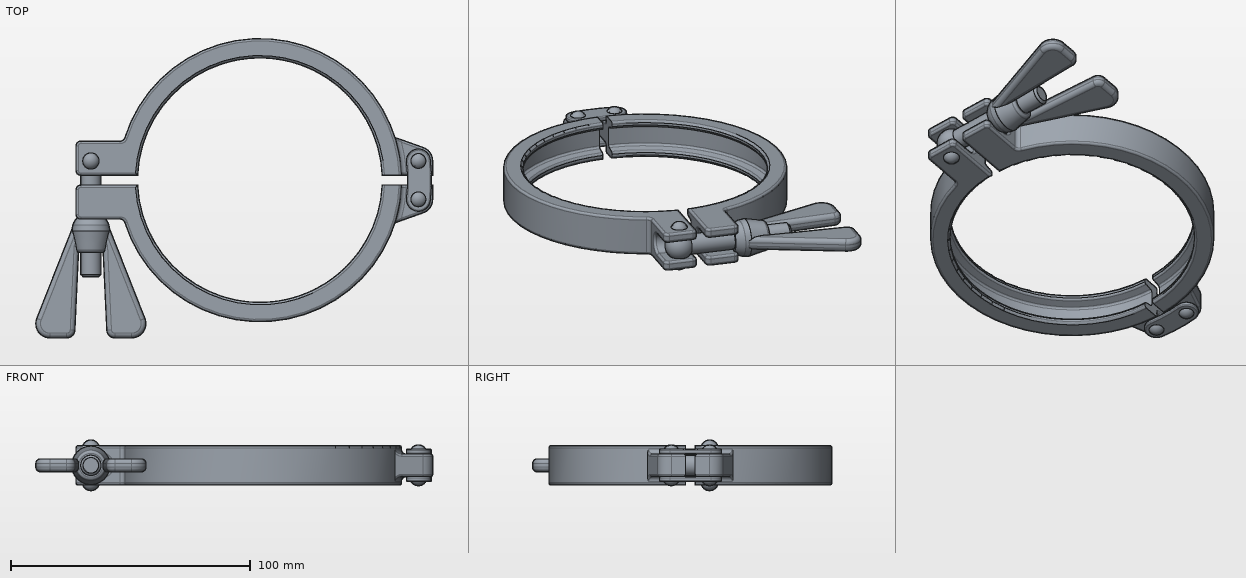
import cadquery as cq
import math

RING_RADIUS = 59.1
BORE_RADIUS = 51.0
ROUGH_BORE_RADIUS = BORE_RADIUS - 2.0
HEIGHT = 16.5
HALF_GAP = 2.0
EDGE_ROUND = 1.0

GROOVE_RADIUS = 55.5
GROOVE_MOUTH = 10.8
FLANK_ANGLE = math.radians(12.5)

ARM_END_X = -76.75
ARM_ROOT_X = -54.0
ARM_OUTER_Y = 16.3
CORNER_ROUND = 2.0
SLOT_END_X = -62.0

BOLT_X = -70.54
BOLT_RADIUS = 4.25
BOLT_END_Y = -40.3
BOLT_CHAMFER = 1.0
EYE_RADIUS = 6.0
PIVOT_Y = 8.0
PIN_LENGTH = 21.25
PIN_HEAD_RADIUS = 3.4
SHANK_RADIUS = 4.82 / 2

NUT_RADIUS = 8.0
NUT_WIDEST_Y = -21.25
NUT_BAND_Y = -18.75
NUT_TIP_Y = -15.2
NUT_END_Y = -30.2
NUT_END_RADIUS = 6.1
NUT_END_ROUND = 1.4
WING_HALF_SPAN = 23.0
WING_TIP_Y = -65.86
WING_ROOT_Y = -19.5
WING_THICKNESS = 5.5
WING_ROUND = 2.0
WING_OUTER_ANGLE = math.radians(21.5)
WING_OUTER_CORNER = 6.0
WING_INNER_CORNER = 3.5
WING_ROOT_X = 2.0
WING_KNEE_Y = -28.0
WING_INNER_KNEE_X = 5.0
WING_INNER_TIP_X = 6.75

HINGE_X = 66.1
HINGE_Y = 8.0
KNUCKLE_RADIUS = 6.0
KNUCKLE_HEIGHT = 9.5
KNUCKLE_SLOPE = math.radians(19.6)
KNUCKLE_ROOT_X = 54.0
KNUCKLE_BLEND = 2.0
LINK_THICKNESS = 2.0
LINK_HALF_WIDTH = 5.0
LINK_ROUND = 0.5
RIVET_HEAD_RADIUS = 3.1
RIVET_HEAD_HEIGHT = 1.8

SLOT_RADIUS = BOLT_RADIUS
TOLERANCE = 0.01
LARGE = 300.0


def pick_edges(body, condition):
    """Workplane holding the edges of the body that meet the condition."""
    return body.newObject([edge for edge in body.edges().vals() if condition(edge)])


def close(value, target):
    return abs(value - target) < TOLERANCE


def is_arc(edge, radius):
    return edge.geomType() == "CIRCLE" and close(edge.radius(), radius)


def cylinder_z(x, y, radius, height):
    return cq.Workplane("XY").center(x, y).circle(radius).extrude(height / 2, both=True)


def cut_gap(body):
    """Keep only what lies behind the gap."""
    front = cq.Workplane("XY").box(LARGE, LARGE, LARGE).translate((0, HALF_GAP - LARGE / 2, 0))
    return body.cut(front)


def ring_with_arm():
    """Half ring and arm with rounded corners and rounded top and bottom outer edges."""
    arm = (
        cq.Workplane("XY")
        .rect(ARM_ROOT_X - ARM_END_X, ARM_OUTER_Y, centered=False)
        .extrude(HEIGHT / 2, both=True)
        .translate((ARM_END_X, 0, 0))
    )
    body = cylinder_z(0, 0, RING_RADIUS, HEIGHT).union(arm)
    body = cut_gap(body).cut(cylinder_z(0, 0, ROUGH_BORE_RADIUS, HEIGHT))

    def is_arm_corner(edge):
        center = edge.Center()
        at_end = close(center.x, ARM_END_X)
        at_ring = close(center.y, ARM_OUTER_Y)
        return close(center.z, 0) and (at_end or at_ring)

    corners = body.edges("|Z").vals()
    body = body.newObject([edge for edge in corners if is_arm_corner(edge)]).fillet(CORNER_ROUND)

    def is_outer_rim(edge):
        center = edge.Center()
        on_face = close(abs(center.z), HEIGHT / 2)
        hinge_end = close(center.y, HALF_GAP) and center.x > 0
        return on_face and not hinge_end and not is_arc(edge, ROUGH_BORE_RADIUS)

    return pick_edges(body, is_outer_rim).fillet(EDGE_ROUND)


def cut_slot(body):
    """Round-ended slot along Y for the bolt, with rounded mouth edges."""
    center_x = SLOT_END_X - SLOT_RADIUS
    slot = (
        cq.Workplane("XZ")
        .moveTo(-LARGE, SLOT_RADIUS)
        .lineTo(center_x, SLOT_RADIUS)
        .threePointArc((SLOT_END_X, 0), (center_x, -SLOT_RADIUS))
        .lineTo(-LARGE, -SLOT_RADIUS)
        .close()
        .extrude(LARGE / 2, both=True)
    )
    body = body.cut(slot)

    def is_mouth(edge):
        box = edge.BoundingBox()
        inside = max(box.zmax, -box.zmin) < SLOT_RADIUS + TOLERANCE and box.xmin < SLOT_END_X
        slot_tangent = edge.geomType() == "LINE" and close(edge.Center().x, center_x)
        return inside and not slot_tangent

    return pick_edges(body, is_mouth).fillet(EDGE_ROUND)


def add_knuckle(body):
    """Hinge knuckle blended onto the outside of the ring."""
    tangent_x = HINGE_X + KNUCKLE_RADIUS * math.sin(KNUCKLE_SLOPE)
    tangent_y = HINGE_Y + KNUCKLE_RADIUS * math.cos(KNUCKLE_SLOPE)
    root_y = tangent_y + (tangent_x - KNUCKLE_ROOT_X) * math.tan(KNUCKLE_SLOPE)
    middle_angle = (math.pi / 2 - KNUCKLE_SLOPE) / 2
    arc_middle = (
        HINGE_X + KNUCKLE_RADIUS * math.cos(middle_angle),
        HINGE_Y + KNUCKLE_RADIUS * math.sin(middle_angle),
    )
    outline = (
        cq.Workplane("XY")
        .moveTo(KNUCKLE_ROOT_X, HALF_GAP)
        .lineTo(KNUCKLE_ROOT_X, root_y)
        .lineTo(tangent_x, tangent_y)
        .threePointArc(arc_middle, (HINGE_X + KNUCKLE_RADIUS, HINGE_Y))
        .lineTo(HINGE_X + KNUCKLE_RADIUS, HALF_GAP)
        .close()
        .extrude(HEIGHT / 2, both=True)
    )
    flat_z = KNUCKLE_HEIGHT / 2
    blend_end = RING_RADIUS + KNUCKLE_BLEND
    blend_middle = blend_end - KNUCKLE_BLEND * math.sqrt(0.5)
    blend_middle_z = flat_z + KNUCKLE_BLEND * (1 - math.sqrt(0.5))
    top_half = (
        cq.Workplane("XZ")
        .moveTo(GROOVE_RADIUS + EDGE_ROUND, 0)
        .lineTo(GROOVE_RADIUS + EDGE_ROUND, flat_z + KNUCKLE_BLEND)
        .lineTo(RING_RADIUS, flat_z + KNUCKLE_BLEND)
        .threePointArc((blend_middle, blend_middle_z), (blend_end, flat_z))
        .lineTo(2 * RING_RADIUS, flat_z)
        .lineTo(2 * RING_RADIUS, 0)
        .close()
        .revolve(360, (0, 0, 0), (0, 1, 0))
    )
    knuckle = outline.intersect(top_half)

    def is_rim(edge):
        center = edge.Center()
        outside_ring = math.hypot(center.x, center.y) > RING_RADIUS + TOLERANCE
        across = is_arc(edge, blend_end)
        return center.z > flat_z - TOLERANCE and outside_ring and not across

    knuckle = pick_edges(knuckle, is_rim).fillet(EDGE_ROUND)
    return body.union(knuckle).union(knuckle.mirror("XY"))


def cut_bore(body):
    """Bore with a V-shaped groove, its edges and rims rounded."""
    mouth = GROOVE_MOUTH / 2
    floor = mouth - (GROOVE_RADIUS - BORE_RADIUS) * math.tan(FLANK_ANGLE)
    upper_points = [
        (GROOVE_RADIUS, floor),
        (BORE_RADIUS, mouth),
        (BORE_RADIUS, HEIGHT / 2),
        (RING_RADIUS, HEIGHT / 2),
        (RING_RADIUS, HEIGHT),
    ]
    lower_points = [(r, -z) for r, z in reversed(upper_points)]
    cutter = (
        cq.Workplane("XZ")
        .polyline([(0, -HEIGHT), *lower_points, *upper_points, (0, HEIGHT)])
        .close()
        .revolve(360, (0, 0, 0), (0, 1, 0))
    )

    def is_rounded(edge):
        return is_arc(edge, BORE_RADIUS) or is_arc(edge, GROOVE_RADIUS)

    return body.cut(pick_edges(cutter, is_rounded).fillet(EDGE_ROUND))


def make_half():
    """Rear half of the clamp; the front half is its mirror image."""
    body = cut_bore(add_knuckle(cut_slot(ring_with_arm())))
    return body.cut(cylinder_z(HINGE_X, HINGE_Y, SHANK_RADIUS, HEIGHT))


def make_bolt():
    """Swing bolt: round rod with a flattened ball eye at the pivot."""
    rod = (
        cq.Workplane("XZ", origin=(BOLT_X, PIVOT_Y, 0))
        .circle(BOLT_RADIUS)
        .extrude(PIVOT_Y - BOLT_END_Y)
        .faces("<Y")
        .chamfer(BOLT_CHAMFER)
    )
    flats = cq.Workplane("XY").box(LARGE, LARGE, 2 * BOLT_RADIUS)
    eye = cq.Workplane("XY").sphere(EYE_RADIUS).translate((BOLT_X, PIVOT_Y, 0)).intersect(flats)
    return rod.union(eye).cut(cylinder_z(BOLT_X, PIVOT_Y, SHANK_RADIUS, HEIGHT))


def make_wing():
    """One wing of the nut on its +X side, tapering towards the nut, with the bolt axis at X = 0."""
    corner_x = WING_HALF_SPAN - WING_OUTER_CORNER
    corner_y = WING_TIP_Y + WING_OUTER_CORNER
    tangent_x = corner_x + WING_OUTER_CORNER * math.cos(WING_OUTER_ANGLE)
    tangent_y = corner_y + WING_OUTER_CORNER * math.sin(WING_OUTER_ANGLE)
    root_x = tangent_x - (WING_ROOT_Y - tangent_y) * math.tan(WING_OUTER_ANGLE)
    middle_angle = (WING_OUTER_ANGLE - math.pi / 2) / 2
    corner_middle = (
        corner_x + WING_OUTER_CORNER * math.cos(middle_angle),
        corner_y + WING_OUTER_CORNER * math.sin(middle_angle),
    )
    wing = (
        cq.Workplane("XY")
        .moveTo(WING_INNER_KNEE_X, WING_KNEE_Y)
        .lineTo(WING_ROOT_X, WING_ROOT_Y)
        .lineTo(root_x, WING_ROOT_Y)
        .lineTo(tangent_x, tangent_y)
        .threePointArc(corner_middle, (corner_x, WING_TIP_Y))
        .lineTo(WING_INNER_TIP_X, WING_TIP_Y)
        .close()
        .extrude(WING_THICKNESS / 2, both=True)
    )
    inner_corner = wing.edges("|Z").edges("<Y").edges("<X")
    wing = inner_corner.fillet(WING_INNER_CORNER)
    return wing.faces("<Z or >Z").edges("not >Y").fillet(WING_ROUND)


def make_nut():
    """Wing nut body turned about the bolt axis, with two mirrored wings."""
    def ball_radius(y):
        return math.sqrt(NUT_RADIUS**2 - (y - NUT_WIDEST_Y) ** 2)

    ball_middle_y = (NUT_TIP_Y + NUT_BAND_Y) / 2
    body = (
        cq.Workplane("XY")
        .moveTo(0, NUT_TIP_Y)
        .lineTo(ball_radius(NUT_TIP_Y), NUT_TIP_Y)
        .threePointArc((ball_radius(ball_middle_y), ball_middle_y), (ball_radius(NUT_BAND_Y), NUT_BAND_Y))
        .lineTo(NUT_RADIUS, NUT_WIDEST_Y)
        .lineTo(NUT_END_RADIUS, NUT_END_Y)
        .lineTo(0, NUT_END_Y)
        .close()
        .revolve(360, (0, 0, 0), (0, 1, 0))
        .faces("<Y")
        .edges()
        .fillet(NUT_END_ROUND)
    )
    wing = make_wing()
    nut = body.union(wing).union(wing.mirror("YZ"))
    bore = cq.Workplane("XZ").circle(BOLT_RADIUS).extrude(LARGE / 2, both=True)
    return nut.cut(bore).translate((BOLT_X, 0, 0))


def make_headed_pin(x, y, length, grip, head_radius):
    """Pin along Z with a domed head at each end of its grip."""
    head_height = (length - grip) / 2
    dome_radius = (head_radius**2 + head_height**2) / (2 * head_height)
    middle_z = grip / 2 + head_height / 2
    dome_center_z = length / 2 - dome_radius
    middle_r = math.sqrt(dome_radius**2 - (middle_z - dome_center_z) ** 2)
    return (
        cq.Workplane("XZ")
        .moveTo(0, -length / 2)
        .threePointArc((middle_r, -middle_z), (head_radius, -grip / 2))
        .lineTo(SHANK_RADIUS, -grip / 2)
        .lineTo(SHANK_RADIUS, grip / 2)
        .lineTo(head_radius, grip / 2)
        .threePointArc((middle_r, middle_z), (0, length / 2))
        .close()
        .revolve(360, (0, 0, 0), (0, 1, 0))
        .translate((x, y, 0))
    )


def make_link(bottom_z):
    """Curved link plate following the ring, with a round end about each rivet."""
    pitch_radius = math.hypot(HINGE_X, HINGE_Y)
    outer = pitch_radius + LINK_HALF_WIDTH
    inner = pitch_radius - LINK_HALF_WIDTH
    cos_end = HINGE_X / pitch_radius
    sin_end = HINGE_Y / pitch_radius
    tip_x = HINGE_X - LINK_HALF_WIDTH * sin_end
    tip_y = HINGE_Y + LINK_HALF_WIDTH * cos_end
    link = (
        cq.Workplane("XY")
        .moveTo(inner * cos_end, -inner * sin_end)
        .threePointArc((inner, 0), (inner * cos_end, inner * sin_end))
        .threePointArc((tip_x, tip_y), (outer * cos_end, outer * sin_end))
        .threePointArc((outer, 0), (outer * cos_end, -outer * sin_end))
        .threePointArc((tip_x, -tip_y), (inner * cos_end, -inner * sin_end))
        .close()
        .extrude(LINK_THICKNESS)
        .edges("not |Z")
        .fillet(LINK_ROUND)
        .translate((0, 0, bottom_z))
    )
    for y in (-HINGE_Y, HINGE_Y):
        link = link.cut(cylinder_z(HINGE_X, y, SHANK_RADIUS, HEIGHT * 2))
    return link


plain_half = make_half()
nut = make_nut()
bolt = make_bolt()
rear_half = plain_half.cut(cylinder_z(BOLT_X, PIVOT_Y, SHANK_RADIUS, HEIGHT))
front_half = plain_half.mirror("XZ").cut(nut)
pin = make_headed_pin(BOLT_X, PIVOT_Y, PIN_LENGTH, HEIGHT, PIN_HEAD_RADIUS)

link_grip = KNUCKLE_HEIGHT + 2 * LINK_THICKNESS
rivet_length = link_grip + 2 * RIVET_HEAD_HEIGHT
links = [make_link(z) for z in (KNUCKLE_HEIGHT / 2, -KNUCKLE_HEIGHT / 2 - LINK_THICKNESS)]
rivets = [
    make_headed_pin(HINGE_X, y, rivet_length, link_grip, RIVET_HEAD_RADIUS)
    for y in (-HINGE_Y, HINGE_Y)
]

bodies = [rear_half, front_half, bolt, nut, pin, *links, *rivets]
result = cq.Compound.makeCompound([body.val() for body in bodies])